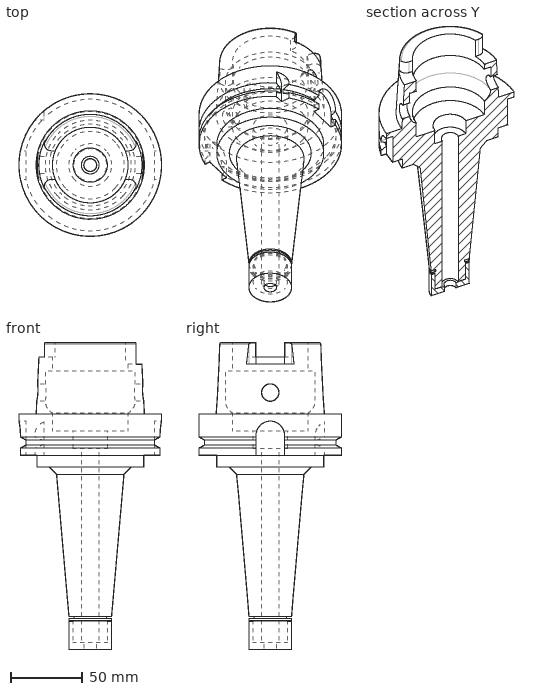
import cadquery as cq
import math


shank_height = 50.0
shank_base_radius = 38.0
shank_taper = 0.05
shank_top_radius = shank_base_radius - shank_taper * shank_height
shank_rim_fillet = 1.5

flange_radius = 50.0
flange_thickness = 29.0
groove_root_radius = 46.2
groove_center_z = -20.0
groove_root_width = 3.5
groove_flank_angle = 30.0
groove_flank_height = (flange_radius - groove_root_radius) * math.tan(math.radians(groove_flank_angle))

collar_radius = 37.5
collar_bottom_z = -37.3
nose_cone_radius = 28.7
nose_top_radius = 23.7
nose_top_z = collar_bottom_z - (nose_cone_radius - nose_top_radius)
nose_tip_radius = 15.0
nose_tip_z = -142.0

relief_radius = 11.5
relief_width = 1.2
end_collar_radius = nose_tip_radius
end_collar_top_z = nose_tip_z - relief_width

nut_radius = end_collar_radius
nut_length = 20.0
nut_top_z = -145.0
nut_gap = 0.2
end_collar_bottom_z = nut_top_z + nut_gap
nut_bottom_z = nut_top_z - nut_length
nut_end_wall = 5.0
nut_hole_radius = 4.4
neck_radius = 12.0
neck_bottom_z = nut_bottom_z + nut_end_wall

bore_radius = 26.5
bore_land_depth = 20.0
bore_land_z = shank_height - bore_land_depth
undercut_radius = 31.5
undercut_arc_z = 9.3
undercut_arc_radius = 10.0
bore_floor_z = -12.0
tube_hole_radius = 12.0
tube_hole_depth = 12.0
through_bore_radius = 6.2

drive_slot_half_width = 10.0
drive_slot_corner_radius = 5.0
lug_end_x = 32.2
left_drive_slot_depth = 10.0
right_drive_slot_depth = 15.0

cross_hole_radius = 6.0
cross_hole_z = 15.0

notch_radius = 10.0
notch_arch_z = -15.0
key_notch_floor_x = 45.0
side_notch_floor_x = 32.5
side_notch_wall_y = 31.5
side_notch_center_y = side_notch_wall_y + notch_radius

cut_reach = 2 * flange_radius


def revolve_outline(points):
    """Solid of revolution about Z from (radius, z) points that start and end on the axis."""
    return cq.Workplane("XZ").polyline(points).close().revolve(360, (0, 0, 0), (0, 1, 0))


def cylinder(radius, bottom_z, top_z):
    return cq.Workplane("XY").workplane(offset=bottom_z).circle(radius).extrude(top_z - bottom_z)


def holder_blank():
    shank = revolve_outline([
        (0, 0),
        (shank_base_radius, 0),
        (shank_top_radius, shank_height),
        (0, shank_height),
    ]).faces(">Z").edges().fillet(shank_rim_fillet)
    root_top_z = groove_center_z + groove_root_width / 2
    root_bottom_z = groove_center_z - groove_root_width / 2
    body = revolve_outline([
        (0, 0),
        (flange_radius, 0),
        (flange_radius, root_top_z + groove_flank_height),
        (groove_root_radius, root_top_z),
        (groove_root_radius, root_bottom_z),
        (flange_radius, root_bottom_z - groove_flank_height),
        (flange_radius, -flange_thickness),
        (collar_radius, -flange_thickness),
        (collar_radius, collar_bottom_z),
        (nose_cone_radius, collar_bottom_z),
        (nose_top_radius, nose_top_z),
        (nose_tip_radius, nose_tip_z),
        (relief_radius, nose_tip_z),
        (relief_radius, end_collar_top_z),
        (end_collar_radius, end_collar_top_z),
        (end_collar_radius, end_collar_bottom_z),
        (neck_radius, end_collar_bottom_z),
        (neck_radius, neck_bottom_z),
        (0, neck_bottom_z),
    ])
    return body.union(shank)


def stepped_bore():
    """Cutter for the bore: a rim land, a wider undercut, the bore again, then the smaller holes."""
    tube_hole_bottom_z = bore_floor_z - tube_hole_depth
    arc_center_radius = undercut_radius - undercut_arc_radius
    arc_drop = math.sqrt(undercut_arc_radius**2 - (bore_radius - arc_center_radius) ** 2)
    undercut = (
        cq.Workplane("XZ")
        .moveTo(0, bore_land_z)
        .lineTo(undercut_radius, bore_land_z)
        .lineTo(undercut_radius, undercut_arc_z)
        .radiusArc((bore_radius, undercut_arc_z - arc_drop), undercut_arc_radius)
        .lineTo(bore_radius, bore_floor_z)
        .lineTo(0, bore_floor_z)
        .close()
        .revolve(360, (0, 0, 0), (0, 1, 0))
    )
    return (
        undercut
        .union(cylinder(bore_radius, bore_land_z, shank_height))
        .union(cylinder(tube_hole_radius, tube_hole_bottom_z, bore_floor_z))
        .union(cylinder(through_bore_radius, neck_bottom_z, tube_hole_bottom_z))
    )


def drive_slot(depth):
    """Cutter for the slot on the +X side: it flares through round corners to the lug ends."""
    corner_start_x = lug_end_x - drive_slot_corner_radius
    flare_y = drive_slot_half_width + drive_slot_corner_radius
    return (
        cq.Workplane("XY")
        .workplane(offset=shank_height - depth)
        .moveTo(0, -drive_slot_half_width)
        .lineTo(corner_start_x, -drive_slot_half_width)
        .radiusArc((lug_end_x, -flare_y), drive_slot_corner_radius)
        .lineTo(lug_end_x, -flange_radius)
        .lineTo(flange_radius, -flange_radius)
        .lineTo(flange_radius, flange_radius)
        .lineTo(lug_end_x, flange_radius)
        .lineTo(lug_end_x, flare_y)
        .radiusArc((corner_start_x, drive_slot_half_width), drive_slot_corner_radius)
        .lineTo(0, drive_slot_half_width)
        .close()
        .extrude(depth)
    )


def flange_notch(floor_x, center_y):
    """Cutter for a notch on the +X side: round at the top and open through the flange bottom."""
    return (
        cq.Workplane("YZ")
        .workplane(offset=floor_x)
        .moveTo(center_y - notch_radius, -flange_thickness)
        .lineTo(center_y - notch_radius, notch_arch_z)
        .threePointArc((center_y, notch_arch_z + notch_radius), (center_y + notch_radius, notch_arch_z))
        .lineTo(center_y + notch_radius, -flange_thickness)
        .close()
        .extrude(flange_radius)
    )


def make_holder():
    cross_hole = (
        cq.Workplane("YZ")
        .center(0, cross_hole_z)
        .circle(cross_hole_radius)
        .extrude(cut_reach, both=True)
    )
    return (
        holder_blank()
        .cut(stepped_bore())
        .cut(drive_slot(right_drive_slot_depth))
        .cut(drive_slot(left_drive_slot_depth).mirror("YZ"))
        .cut(cross_hole)
        .cut(flange_notch(key_notch_floor_x, 0))
        .cut(flange_notch(key_notch_floor_x, 0).mirror("YZ"))
        .cut(flange_notch(side_notch_floor_x, side_notch_center_y).mirror("YZ"))
    )


def make_nut():
    return (
        cylinder(nut_radius, nut_bottom_z, nut_top_z)
        .cut(cylinder(neck_radius, neck_bottom_z, nut_top_z))
        .cut(cylinder(nut_hole_radius, nut_bottom_z, neck_bottom_z))
    )


holder = make_holder()
nut = make_nut()

result = cq.Compound.makeCompound([holder.val(), nut.val()])